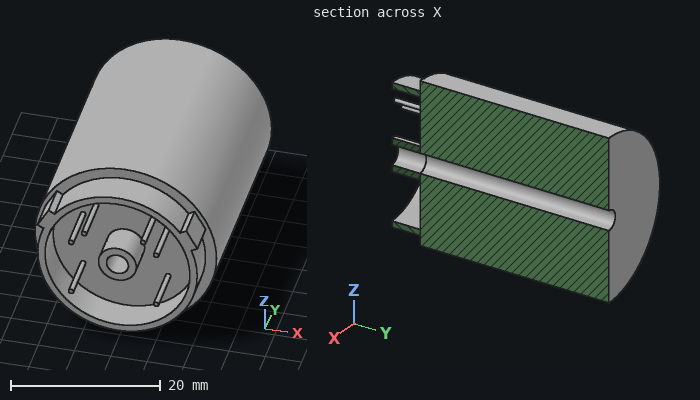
import cadquery as cq
import math

total_length = 36.6
can_diameter = 25.0
bore_diameter = 3.0

collar_length = 4.5
collar_outer_diameter = 21.95
collar_inner_diameter = 19.95
tab_reach = 11.82
tab_width = 3.07
tab_angles = (30, 150)

hub_diameter = 5.2
hub_length = collar_length

pin_diameter = 0.7
pin_projection = 2.1
pin_length = collar_length + pin_projection
pin_far_offset = 5.85
pin_near_offset = 4.05
pin_positions = [
    (side * x, z)
    for side in (-1, 1)
    for x, z in (
        (pin_near_offset, pin_far_offset),
        (pin_far_offset, pin_near_offset),
        (pin_far_offset, -pin_near_offset),
    )
]

can_length = total_length - pin_length


def front_plane():
    """XZ plane at the front face of the can; positive extrusion goes toward -Y."""
    return cq.Workplane("XZ")


def make_can():
    """Plain cylinder behind the front plane, with the bore right through."""
    return (
        front_plane()
        .circle(can_diameter / 2)
        .circle(bore_diameter / 2)
        .extrude(-can_length)
    )


def make_tab(angle):
    """Block along a radius, rooted in the collar wall."""
    mid_wall_radius = (collar_outer_diameter + collar_inner_diameter) / 4
    root = math.sqrt(mid_wall_radius**2 - (tab_width / 2) ** 2)
    return (
        front_plane()
        .transformed(rotate=(0, 0, angle))
        .center((root + tab_reach) / 2, 0)
        .rect(tab_reach - root, tab_width)
        .extrude(collar_length)
    )


def make_collar():
    """Ring with two flat-faced locating tabs, trimmed by the round inside wall."""
    collar = front_plane().circle(collar_outer_diameter / 2).extrude(collar_length)
    for angle in tab_angles:
        collar = collar.union(make_tab(angle))
    inside = front_plane().circle(collar_inner_diameter / 2).extrude(collar_length)
    return collar.cut(inside)


def make_hub():
    """Sleeve that carries the bore forward from the can."""
    return (
        front_plane()
        .circle(hub_diameter / 2)
        .circle(bore_diameter / 2)
        .extrude(hub_length)
    )


def make_pin(x, z):
    """Straight round pin standing on the front face of the can."""
    return front_plane().center(x, z).circle(pin_diameter / 2).extrude(pin_length)


can = make_can()
collar = make_collar()
hub = make_hub()
pins = [make_pin(x, z) for x, z in pin_positions]

result = cq.Compound.makeCompound(
    [can.val(), collar.val(), hub.val(), *[pin.val() for pin in pins]]
)